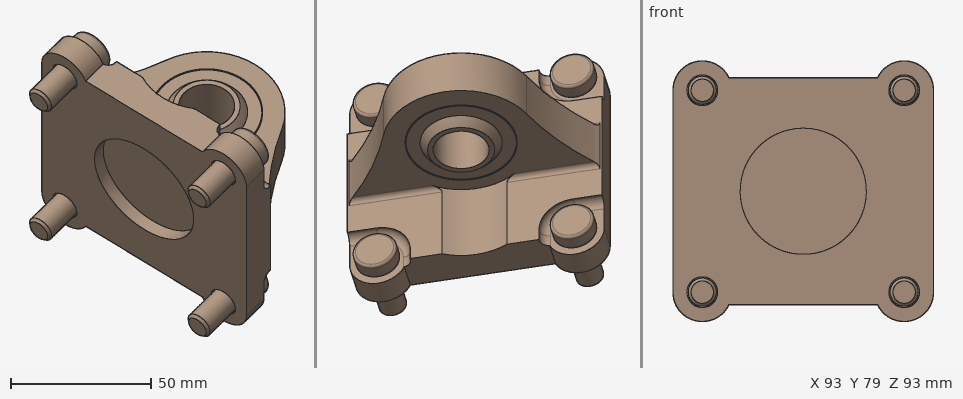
import cadquery as cq
import math

plate_side = 93.0
plate_waist_height = 81.1
plate_thickness = 13.95
lobe_radius = 10.5
screw_offset = plate_side / 2 - lobe_radius
back_recess_diameter = 45.0
back_recess_depth = 5.0

bearing_axis_y = 36.0
lug_width = 18.0
lug_radius = 28.0
lug_blend_angle = math.radians(21.3)
lug_foot_width = 91.5
lug_fillet = 1.95
clearance_diameter = 50.0

bearing_width = 24.7
ring_diameter = 40.0
ball_diameter = 34.4
bore_diameter = 20.0
seam_width = 0.3
seam_depth = 0.3

seat_height = 10.0
seat_radius = 12.5
seat_fillet = 3.35
screw_diameter = 10.0
screw_hole_diameter = 11.0
screw_protrusion = 15.0
tip_chamfer = 1.0
head_diameter = 16.0
head_height = 6.4
head_edge_radius = 1.0

signs = (-1, 1)
screw_places = [(i * screw_offset, j * screw_offset) for i in signs for j in signs]


def cylinder_along_y(diameter, start, end, x=0, z=0):
    """Cylinder parallel to Y, from Y = start to Y = end."""
    axis_start = cq.Vector(x, start, z)
    return cq.Workplane(cq.Solid.makeCylinder(diameter / 2, end - start, axis_start, cq.Vector(0, 1, 0)))


def cylinder_along_z(diameter, start, end):
    """Cylinder on the bearing axis, from Z = start to Z = end."""
    axis_start = cq.Vector(0, bearing_axis_y, start)
    return cq.Workplane(cq.Solid.makeCylinder(diameter / 2, end - start, axis_start))


def make_plate():
    """Square plate with a round lobe at each corner and a little waist between the lobes."""
    lobe_square = 2 * screw_offset
    plate = cq.Workplane("XY").box(plate_side, plate_thickness, lobe_square, centered=(True, False, True))
    waist = cq.Workplane("XY").box(
        lobe_square, plate_thickness, plate_waist_height, centered=(True, False, True)
    )
    plate = plate.union(waist)
    for x, z in screw_places:
        plate = plate.union(cylinder_along_y(2 * lobe_radius, 0, plate_thickness, x, z))
    return plate.clean()


def make_lug(width):
    """Eye of the lug, flared by concave arcs down to its foot on the plate."""
    blend_x = lug_radius * math.cos(lug_blend_angle)
    blend_y = bearing_axis_y + lug_radius * math.sin(lug_blend_angle)
    half_lug = (
        cq.Workplane("XY", origin=(0, 0, -width / 2))
        .moveTo(0, plate_thickness)
        .lineTo(0, bearing_axis_y + lug_radius)
        .radiusArc((blend_x, blend_y), lug_radius)
        .tangentArcPoint((lug_foot_width / 2, plate_thickness), relative=False)
        .close()
        .extrude(width)
    )
    return half_lug.union(half_lug.mirror("YZ")).clean()


def make_root_fillet(sign):
    """Concave fillet strip between one lug face and the plate, ending at the flared lug outline."""
    face_z = sign * lug_width / 2
    strip = (
        cq.Workplane("YZ", origin=(-plate_side / 2, 0, 0))
        .moveTo(plate_thickness, face_z)
        .lineTo(plate_thickness + lug_fillet, face_z)
        .radiusArc((plate_thickness, face_z + sign * lug_fillet), sign * lug_fillet)
        .close()
        .extrude(plate_side)
    )
    return strip.intersect(make_lug(lug_width + 2 * lug_fillet))


def make_seat(x_sign, z_sign):
    """Cutter for a screw seat: open to the outside, round inner corner, filleted floor."""
    seat_size = 2 * seat_radius + lobe_radius
    centre_shift = screw_offset + seat_size / 2 - seat_radius
    return (
        cq.Workplane("XY")
        .box(seat_size, seat_size, seat_size)
        .edges("|Y")
        .fillet(seat_radius)
        .faces("<Y")
        .edges()
        .fillet(seat_fillet)
        .translate((x_sign * centre_shift, seat_height + seat_size / 2, z_sign * centre_shift))
    )


def make_seam(sign):
    """Cutter for the narrow groove around the bearing ring on one lug face."""
    face_z = sign * lug_width / 2
    bottom, top = sorted((face_z, face_z - sign * seam_depth))
    ring = cylinder_along_z(ring_diameter, bottom, top)
    return ring.cut(cylinder_along_z(ring_diameter - 2 * seam_width, bottom, top))


def make_ball():
    """Bearing ball with flat ends, standing proud of both lug faces."""
    ball = cq.Workplane("XY").sphere(ball_diameter / 2).translate((0, bearing_axis_y, 0))
    return ball.intersect(cylinder_along_z(ball_diameter, -bearing_width / 2, bearing_width / 2))


def make_housing():
    """Plate, lug and bearing as one solid."""
    housing = make_plate()
    for sign in signs:
        housing = housing.union(make_root_fillet(sign))

    for x_sign in signs:
        for z_sign in signs:
            housing = housing.cut(make_seat(x_sign, z_sign))

    for sign in signs:
        bottom, top = sorted((sign * lug_width / 2, sign * plate_side / 2))
        housing = housing.cut(cylinder_along_z(clearance_diameter, bottom, top))

    housing = housing.union(make_lug(lug_width)).union(make_ball())
    for sign in signs:
        housing = housing.cut(make_seam(sign))
    housing = housing.cut(cylinder_along_z(bore_diameter, -bearing_width / 2, bearing_width / 2))

    housing = housing.cut(cylinder_along_y(back_recess_diameter, 0, back_recess_depth))
    for x, z in screw_places:
        housing = housing.cut(cylinder_along_y(screw_hole_diameter, 0, seat_height, x, z))
    return housing


def make_screw(x, z):
    """Low-head screw with a chamfered tip and a head rounded at both ends."""
    shank = cylinder_along_y(screw_diameter, -screw_protrusion, seat_height, x, z)
    shank = shank.faces("<Y").chamfer(tip_chamfer)
    head = cylinder_along_y(head_diameter, seat_height, seat_height + head_height, x, z)
    head = head.edges("%CIRCLE").fillet(head_edge_radius)
    return shank.union(head)


housing = make_housing()
screws = [make_screw(x, z) for x, z in screw_places]

result = cq.Compound.makeCompound([housing.val(), *[screw.val() for screw in screws]])